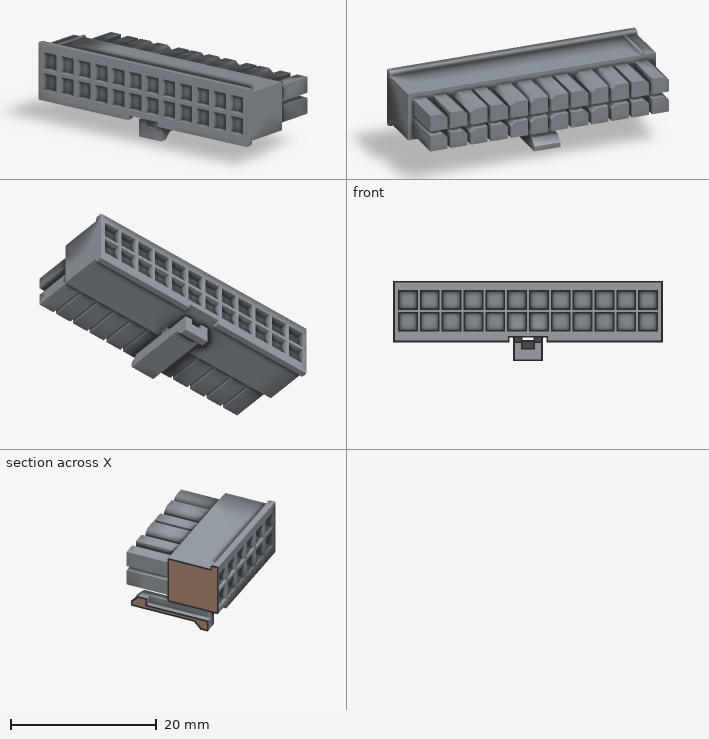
import cadquery as cq
import math


length = 36.85
flange_height = 8.25
flange_depth = 1.1
flange_round = 0.37

body_rear = 7.63
body_bottom = 0.65
body_top = 7.6
bead_left = 1.6
bead_width = 0.6
bead_height = 0.35

columns = 12
rows = 2
row_span = 32.98
pitch = row_span / (columns - 1)
cavity_size = 2.5
cavity_depth = 1.15
lower_cavity_center_z = 2.73

tube_rear = 14.0
tube_width = cavity_size
tube_height = 2.32
lower_tube_bottom_z = 1.47
tube_bevel_width = 0.7
tube_bevel_height = 0.55
bevel_sides = "LLRRLRRRLRLL"

latch_width = 3.87
latch_notch_width = 5.25
latch_front = 1.55
latch_rear = 13.12
latch_bottom = -2.58
hook_flat_end = 2.58
hook_slope_end = 3.57
arm_bottom = -1.55
front_arm_top = -0.1
rear_arm_top = 0.1
tail_tip_top = -0.85
tail_slope_start = 12.12
neck_front = 5.55
neck_rear = 6.75
neck_round = 0.2
latch_slot_width = 1.7
latch_slot_floor = -0.95
latch_slot_rear = 10.85


def box(x_min, x_max, y_min, y_max, z_min, z_max):
    """Axis-aligned block between the given limits."""
    size = (x_max - x_min, y_max - y_min, z_max - z_min)
    return cq.Workplane("XY").box(*size, centered=False).translate((x_min, y_min, z_min))


def centered_box(center_x, width, y_min, y_max, z_min, z_max):
    """Block of the given width, centered on center_x."""
    return box(center_x - width / 2, center_x + width / 2, y_min, y_max, z_min, z_max)


def section_along_y(y_start):
    """Sketch plane in X and Z; a negative extrusion runs towards +Y."""
    return cq.Workplane("XZ", origin=(0, y_start, 0))


def column_x(column):
    return (column - (columns - 1) / 2) * pitch


def make_flange():
    flange = box(-length / 2, length / 2, 0, flange_depth, 0, flange_height)
    flange = flange.edges("|X and >Y").fillet(flange_round)
    notch = centered_box(0, latch_notch_width, 0, flange_depth, 0, body_bottom)
    return flange.cut(notch)


def make_body():
    """Housing block with a half-sunk round bead along the top face near its left end."""
    block = box(-length / 2, length / 2, flange_depth, body_rear, body_bottom, body_top)
    bead_radius = bead_width / 2
    bead_x = bead_left + bead_radius - length / 2
    half_base = math.sqrt(bead_radius**2 - (bead_height - bead_radius) ** 2)
    bead = (
        section_along_y(flange_depth)
        .moveTo(bead_x - half_base, body_top)
        .threePointArc((bead_x, body_top + bead_height), (bead_x + half_base, body_top))
        .close()
        .extrude(flange_depth - body_rear)
    )
    return block.union(bead)


def make_cavities():
    cavities = cq.Workplane("XY")
    for column in range(columns):
        for row in range(rows):
            bottom = lower_cavity_center_z + row * pitch - cavity_size / 2
            top = bottom + cavity_size
            cavities.add(centered_box(column_x(column), cavity_size, 0, cavity_depth, bottom, top))
    return cavities.combine()


def make_tube(center_x, bottom, bevel_side):
    """Solid contact tube with one beveled top corner, on the left ("L") or right ("R")."""
    toward_bevel = -1 if bevel_side == "L" else 1
    plain_x = center_x - toward_bevel * tube_width / 2
    bevel_x = center_x + toward_bevel * tube_width / 2
    top = bottom + tube_height
    return (
        section_along_y(body_rear)
        .moveTo(plain_x, bottom)
        .lineTo(plain_x, top)
        .lineTo(bevel_x - toward_bevel * tube_bevel_width, top)
        .lineTo(bevel_x, top - tube_bevel_height)
        .lineTo(bevel_x, bottom)
        .close()
        .extrude(body_rear - tube_rear)
    )


def make_latch():
    """Solid hooked arm with the neck that hangs it from the housing."""
    profile = (
        cq.Workplane("YZ")
        .moveTo(latch_front, front_arm_top)
        .lineTo(latch_front, latch_bottom)
        .lineTo(hook_flat_end, latch_bottom)
        .lineTo(hook_slope_end, arm_bottom)
        .lineTo(latch_rear, arm_bottom)
        .lineTo(latch_rear, tail_tip_top)
        .lineTo(tail_slope_start, rear_arm_top)
        .lineTo(neck_rear, rear_arm_top)
        .lineTo(neck_rear, body_bottom)
        .lineTo(neck_front, body_bottom)
        .lineTo(neck_front, front_arm_top)
        .close()
    )
    return profile.extrude(latch_width / 2, both=True)


def blend_neck(part):
    """Round the neck into the housing at its sides and rear, and into the arm at its front and rear."""
    side_x = latch_width / 2
    middle_y = (neck_front + neck_rear) / 2
    edge_middles = [
        (-side_x, middle_y, body_bottom),
        (side_x, middle_y, body_bottom),
        (0, neck_rear, body_bottom),
        (0, neck_rear, rear_arm_top),
        (0, neck_front, front_arm_top),
    ]
    edges = cq.Workplane("XY")
    for point in edge_middles:
        edges.add(part.edges(cq.selectors.NearestToPointSelector(point)))
    return part.newObject(edges.vals()).fillet(neck_round)


part = make_flange().union(make_body())
part = blend_neck(part.union(make_latch()))

part = part.cut(
    centered_box(0, latch_slot_width, latch_front, latch_slot_rear, latch_slot_floor, body_bottom)
)

part = part.cut(make_cavities())
for column, bevel_side in enumerate(bevel_sides):
    for row in range(rows):
        part = part.union(make_tube(column_x(column), lower_tube_bottom_z + row * pitch, bevel_side))

result = part